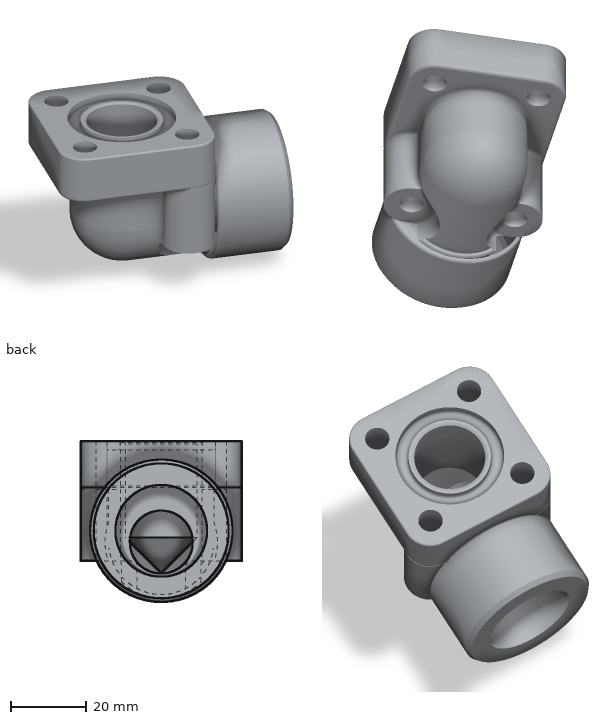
import cadquery as cq

flange_side = 43.0
flange_thickness = 13.0
corner_radius = 7.0
flange_top_round = 0.5
flange_bottom_round = 1.0

bolt_circle = 40.0
bolt_offset = bolt_circle / 2 / 2**0.5
bolt_hole_diameter = 6.5
post_length = 32.0
post_offset = flange_side / 2 - corner_radius
spot_face_radius = 8.0
spot_face_fillet = 1.0

elbow_radius = 14.0
elbow_axis_z = -27.0
body_fillet = 1.0
flange_overlap = 0.5
margin = 0.1

collar_diameter = 38.0
collar_axis_z = -24.0
collar_length = 21.0
collar_start = flange_side / 2
collar_end = collar_start + collar_length
tube_end = collar_start + 1.5
collar_chamfer_depth = 1.0
collar_chamfer_length = 1.35
collar_inner_round = 1.0

groove_outer_diameter = 29.0
groove_depth = 2.5
groove_floor_round = 0.6
lip_outer_diameter = 22.0
lip_drop = 0.5
lip_chamfer_width = 0.7
lip_chamfer_depth = 0.3

inlet_diameter = 19.0
cone_apex_drop = 8.35
outlet_diameter = 16.8
outlet_tip_length = 3.0
socket_diameter = 24.5
socket_depth = 18.0


def cylinder_z(x, y, radius, top, bottom):
    return cq.Workplane(origin=(x, y, bottom)).circle(radius).extrude(top - bottom)


def cylinder_y(z, radius, start, end):
    return cq.Workplane("XZ", origin=(0, start, z)).circle(radius).extrude(start - end)


def make_flange():
    block = cq.Workplane().rect(flange_side, flange_side).extrude(-flange_thickness)
    block = block.edges("|Z").fillet(corner_radius)
    block = block.faces(">Z").edges().fillet(flange_top_round)
    return block.faces("<Z").edges().fillet(flange_bottom_round)


def make_elbow():
    """Vertical neck, rounded heel, horizontal tube, flat-sided web and the two posts."""
    top = -flange_thickness + flange_overlap
    neck = cylinder_z(0, 0, elbow_radius, top, elbow_axis_z)
    heel = cq.Workplane(origin=(0, 0, elbow_axis_z)).sphere(elbow_radius)
    tube = cylinder_y(elbow_axis_z, elbow_radius, 0, tube_end)
    web = cq.Workplane(origin=(0, tube_end / 2, elbow_axis_z))
    web = web.rect(2 * elbow_radius, tube_end).extrude(top - elbow_axis_z)
    elbow = neck.union(heel).union(tube).union(web).clean()
    for x in (-post_offset, post_offset):
        elbow = elbow.union(cylinder_z(x, post_offset, corner_radius, top, -post_length))
    return elbow


def is_inside_corner(edge):
    """True where the elbow meets the flange underside, or a post meets the web or the tube."""
    box = edge.BoundingBox()
    on_underside = max(abs(box.zmin + flange_thickness), abs(box.zmax + flange_thickness)) < margin
    around_neck = box.ymin > -elbow_radius - margin and box.ymax < post_offset
    post_front = post_offset - corner_radius
    beside_post = abs(box.ymin - post_front) < margin and box.ymax - post_front < 2 * margin
    upright = box.zmax - box.zmin > body_fillet
    return (on_underside and around_neck) or (beside_post and upright)


def fillet_inside_corners(body):
    corners = [edge for edge in body.edges().vals() if is_inside_corner(edge)]
    return body.newObject(corners).fillet(body_fillet)


def make_spot_face(x):
    """Cutter below a post whose rounded top edge leaves a fillet under the post."""
    cutter = cylinder_z(x, post_offset, spot_face_radius, -post_length, -flange_side)
    return cutter.faces(">Z").edges().fillet(spot_face_fillet)


def make_tube_flare():
    """Concave flare that blends the tube into the collar."""
    flare_radius = elbow_radius + body_fillet
    flare_start = collar_start - body_fillet
    profile = (
        cq.Workplane("XY", origin=(0, 0, elbow_axis_z))
        .moveTo(0, flare_start)
        .lineTo(elbow_radius, flare_start)
        .radiusArc((flare_radius, collar_start), -body_fillet)
        .lineTo(flare_radius, tube_end)
        .lineTo(0, tube_end)
        .close()
    )
    return profile.revolve(360, (0, 0, 0), (0, 1, 0))


def make_collar():
    collar = cylinder_y(collar_axis_z, collar_diameter / 2, collar_start, collar_end)
    collar = collar.faces(">Y").edges().chamfer(collar_chamfer_length, collar_chamfer_depth)
    return collar.faces("<Y").edges().fillet(collar_inner_round)


def make_inlet_cut():
    """Seal groove, lip and blind bore with a 90 degree conical bottom."""
    bore_radius = inlet_diameter / 2
    groove_radius = groove_outer_diameter / 2
    lip_radius = lip_outer_diameter / 2
    apex_z = elbow_axis_z - cone_apex_drop
    floor_round_z = -groove_depth + groove_floor_round
    profile = (
        cq.Workplane("XZ")
        .moveTo(0, 0)
        .lineTo(groove_radius, 0)
        .lineTo(groove_radius, floor_round_z)
        .radiusArc((groove_radius - groove_floor_round, -groove_depth), groove_floor_round)
        .lineTo(lip_radius + groove_floor_round, -groove_depth)
        .radiusArc((lip_radius, floor_round_z), groove_floor_round)
        .lineTo(lip_radius, -lip_drop)
        .lineTo(bore_radius + lip_chamfer_width, -lip_drop)
        .lineTo(bore_radius, -lip_drop - lip_chamfer_depth)
        .lineTo(bore_radius, apex_z + bore_radius)
        .lineTo(0, apex_z)
        .close()
    )
    return profile.revolve(360, (0, 0, 0), (0, 1, 0))


def make_outlet_cut():
    """Outlet bore with a shallow conical end and a wider socket in the collar."""
    radius = outlet_diameter / 2
    bore = cylinder_y(elbow_axis_z, radius, 0, collar_end)
    tip = cq.Workplane("XY", origin=(0, 0, elbow_axis_z))
    tip = tip.polyline([(0, 0), (radius, 0), (0, -outlet_tip_length)]).close()
    tip = tip.revolve(360, (0, 0, 0), (0, 1, 0))
    socket = cylinder_y(collar_axis_z, socket_diameter / 2, collar_end - socket_depth, collar_end)
    return bore.union(tip).union(socket)


result = make_flange().union(make_elbow())
result = fillet_inside_corners(result)
result = result.union(make_tube_flare())
for x in (-post_offset, post_offset):
    result = result.cut(make_spot_face(x))
result = result.union(make_collar())
for x in (-bolt_offset, bolt_offset):
    for y in (-bolt_offset, bolt_offset):
        result = result.cut(cylinder_z(x, y, bolt_hole_diameter / 2, 0, -post_length))
result = result.cut(make_inlet_cut())
result = result.cut(make_outlet_cut())